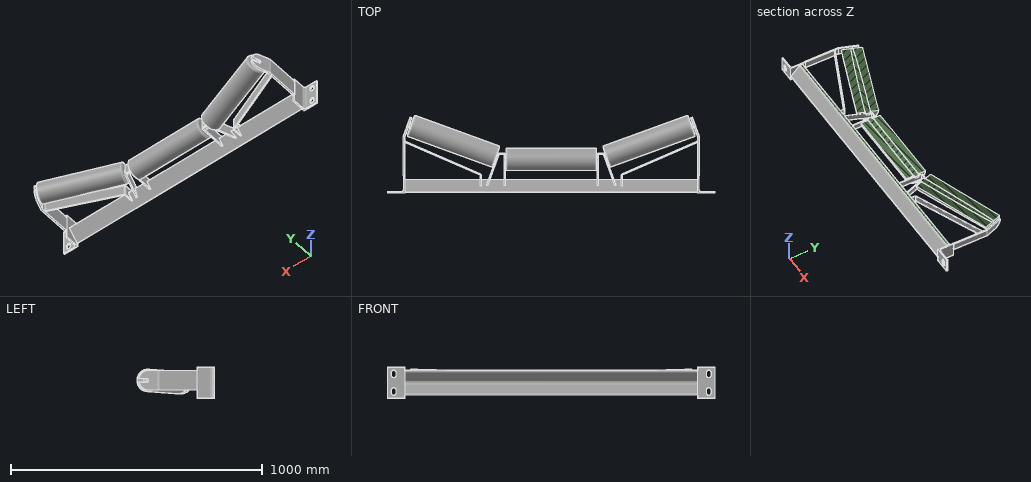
import cadquery as cq
import math


overall_length = 1300.0

beam_leg = 70.0
beam_thickness = 6.8
beam_root_radius = 6.9
beam_toe_radius = 3.2
beam_corner_y = (beam_leg + beam_thickness) / math.sqrt(2)

foot_width = 69.0
foot_height = 125.0
foot_depth = 69.0
foot_thickness = 6.0
foot_bend_radius = 9.0
foot_slot_inset = 25.0
foot_slot_spacing = 70.0
foot_slot_width = 18.0
foot_slot_height = 29.0
beam_end_x = overall_length / 2 - foot_width

wing_angle = 20.0
arm_thickness = 8.0
arm_height = 78.0
arm_rise = 9.8
arm_bend_y = 222.0
arm_bend_radius = 12.0
arm_flap_length = 85.0
arm_tip_radius = 38.0
arm_outer_x = beam_end_x + arm_thickness

roller_diameter = 90.0
roller_length = 360.0
roller_edge_radius = 4.0
axle_diameter = 20.0
axle_flat_width = 15.0
wing_end_gap = 6.0
wing_seat_distance = 53.0
center_roller_y = 134.0

bracket_thickness = 6.0
bracket_height = 48.0
bracket_top_y = 160.0
bracket_bend_radius = 8.0
bracket_gap = 2.3
bracket_center_x = roller_length / 2 + bracket_gap
center_axle_reach = bracket_center_x + bracket_thickness

brace_thickness = 5.0
brace_height = 52.0
brace_foot_x = 282.0
brace_knee_y = 72.0
brace_bend_radius = 9.0
brace_arm_y = 203.0

wing_sin = math.sin(math.radians(wing_angle))
wing_cos = math.cos(math.radians(wing_angle))
wing_outward = cq.Vector(-wing_cos, wing_sin, 0)
wing_upward = cq.Vector(wing_sin, wing_cos, 0)
wing_outer_reach = roller_length / 2 + wing_end_gap + arm_thickness
wing_inner_reach = center_axle_reach
wing_axle_length = wing_outer_reach + wing_inner_reach
wing_tilt = math.degrees(math.asin(arm_rise / wing_axle_length))
arm_bend = cq.Vector(-arm_outer_x, arm_bend_y, 0)
arm_tip = arm_bend + wing_upward * arm_flap_length
wing_center = arm_bend + wing_upward * wing_seat_distance - wing_outward * wing_outer_reach
wing_center_z = arm_rise * wing_inner_reach / wing_axle_length


def bent_strip(path, thickness, height, middle_z=0.0):
    """Upright strip whose left face follows path, with its thickness to the right."""
    points = [cq.Vector(x, y, 0) for x, y in path]
    normals = []
    for start, end in zip(points, points[1:]):
        along = (end - start).normalized()
        normals.append(cq.Vector(along.y, -along.x, 0))
    before = [normals[0]] + normals
    after = normals + [normals[-1]]
    right_side = []
    for point, first, second in zip(points, before, after):
        mitre = (first + second) * (thickness / (1 + first.dot(second)))
        right_side.append(point + mitre)
    outline = [(p.x, p.y) for p in points + right_side[::-1]]
    strip = cq.Workplane("XY").polyline(outline).close().extrude(height)
    return strip.translate((0, 0, middle_z - height / 2))


def round_upright_edge(body, x, y, radius):
    """Round the upright edge nearest to (x, y)."""
    nearest = cq.selectors.NearestToPointSelector((x, y, 0))
    return body.edges("|Z").edges(nearest).fillet(radius)


def both_sides(body):
    """The -X body and its mirror image on the +X side."""
    return [body, body.mirror("YZ")]


def place_on_wing(body):
    """Move a body from the X axis to the -X wing roller position."""
    tilted = body.rotate((0, 0, 0), (0, 1, 0), wing_tilt)
    turned = tilted.rotate((0, 0, 0), (0, 0, 1), -wing_angle)
    return turned.translate((wing_center.x, wing_center.y, wing_center_z))


def x_cylinder(diameter, start_x, end_x):
    """Cylinder lying on the X axis."""
    return cq.Workplane("YZ", origin=(start_x, 0, 0)).circle(diameter / 2).extrude(end_x - start_x)


def make_roller():
    """Roller on the X axis with rounded ends and a bore for its axle."""
    body = x_cylinder(roller_diameter, -roller_length / 2, roller_length / 2)
    body = body.edges().fillet(roller_edge_radius)
    return body.cut(x_cylinder(axle_diameter, -roller_length / 2, roller_length / 2))


def make_axle(start_x, end_x):
    """Round shaft with two flats on each end that sticks out of the roller."""
    flats = cq.Workplane("XY").box(2 * (end_x - start_x), axle_diameter, axle_flat_width)
    flattened = x_cylinder(axle_diameter, start_x, end_x).intersect(flats)
    return flattened.union(x_cylinder(axle_diameter, -roller_length / 2, roller_length / 2))


def make_beam():
    """Equal angle iron with a rounded inner corner and rounded leg ends."""
    drop = beam_leg / math.sqrt(2)
    toe = beam_thickness / math.sqrt(2)
    root_y = beam_corner_y - beam_thickness * math.sqrt(2)
    outline = [
        (beam_corner_y, 0),
        (beam_corner_y - drop, drop),
        (0, drop - toe),
        (root_y, 0),
        (0, toe - drop),
        (beam_corner_y - drop, -drop),
    ]
    beam = cq.Workplane("YZ", origin=(-beam_end_x, 0, 0)).polyline(outline).close()
    beam = beam.extrude(2 * beam_end_x)
    for y, z, radius in [
        (root_y, 0, beam_root_radius),
        (0, drop - toe, beam_toe_radius),
        (0, toe - drop, beam_toe_radius),
    ]:
        nearest = cq.selectors.NearestToPointSelector((0, y, z))
        beam = beam.edges("|X").edges(nearest).fillet(radius)
    return beam


def beam_seat_y(plate_height):
    """Y where the edges of a plate of this height meet the sloping beam faces."""
    return beam_corner_y - plate_height / 2


def notch_for_beam(plate):
    """Cut away the beam's outline, with its hollow filled, from a plate that sits on the beam."""
    outline = [(beam_corner_y, 0), (0, beam_corner_y), (0, -beam_corner_y)]
    envelope = cq.Workplane("YZ", origin=(-beam_end_x, 0, 0)).polyline(outline).close()
    return plate.cut(envelope.extrude(2 * beam_end_x))


def make_foot():
    """Bolting plate folded into a leg that lies against the end of the beam."""
    path = [(-beam_end_x, foot_depth), (-beam_end_x, 0), (-overall_length / 2, 0)]
    foot = bent_strip(path, foot_thickness, foot_height)
    inner_x = -beam_end_x - foot_thickness
    foot = round_upright_edge(foot, inner_x, foot_thickness, foot_bend_radius)
    slot_x = foot_slot_inset - overall_length / 2
    slots = (
        cq.Workplane("XZ", origin=(slot_x, foot_depth, 0))
        .rarray(13, foot_slot_spacing, 1, 2)
        .slot2D(foot_slot_height, foot_slot_width, 90)
        .extrude(2 * foot_depth)
    )
    return foot.cut(slots)


def make_arm(wing_axle):
    """Upright arm whose bent, round-ended flap has an open slot for the axle."""
    path = [(-arm_outer_x, foot_depth), (arm_bend.x, arm_bend.y), (arm_tip.x, arm_tip.y)]
    arm = bent_strip(path, arm_thickness, arm_height, arm_rise)
    arm = round_upright_edge(arm, arm_bend.x, arm_bend.y, arm_bend_radius)
    arm = arm.edges(cq.selectors.ParallelDirSelector(wing_outward)).fillet(arm_tip_radius)
    slot = cq.Workplane("XY").box(
        roller_length, arm_flap_length, axle_flat_width, centered=(True, False, True)
    )
    slot = slot.translate((-roller_length, 0, 0))
    return arm.cut(place_on_wing(slot)).cut(wing_axle)


def make_brace():
    """Thin strip standing on the beam and leaning out to the arm."""
    arm_middle_x = beam_end_x + arm_thickness / 2
    path = [
        (-brace_foot_x, beam_seat_y(brace_height)),
        (-brace_foot_x, brace_knee_y),
        (-arm_middle_x, brace_arm_y),
    ]
    brace = bent_strip(path, brace_thickness, brace_height)
    knee_x, knee_y = path[1]
    brace = round_upright_edge(brace, knee_x + brace_thickness, knee_y, brace_bend_radius)
    return notch_for_beam(brace)


def make_bracket(wing_axle, center_axle):
    """Folded sheet astride the beam that holds a wing axle and the centre axle."""
    seat_y = beam_seat_y(bracket_height)
    face_middle = wing_center - wing_outward * (wing_inner_reach - bracket_thickness)
    lean = wing_sin / wing_cos
    path = [
        (face_middle.x + (seat_y - face_middle.y) * lean, seat_y),
        (face_middle.x + (bracket_top_y - face_middle.y) * lean, bracket_top_y),
        (-bracket_center_x, bracket_top_y),
        (-bracket_center_x, seat_y),
    ]
    bracket = bent_strip(path, bracket_thickness, bracket_height)
    for x, y in path[1:3]:
        bracket = round_upright_edge(bracket, x, y, bracket_bend_radius)
    return notch_for_beam(bracket).cut(wing_axle).cut(center_axle)


center_axle = make_axle(-center_axle_reach, center_axle_reach).translate((0, center_roller_y, 0))
wing_axle = place_on_wing(make_axle(-wing_outer_reach, wing_inner_reach))
center_roller = make_roller().translate((0, center_roller_y, 0))
wing_roller = place_on_wing(make_roller())

frame = make_beam()
for plate in [make_arm(wing_axle), make_brace(), make_bracket(wing_axle, center_axle)]:
    for copy in both_sides(plate):
        frame = frame.union(copy)

rollers = [center_roller] + both_sides(wing_roller)
axles = [center_axle] + both_sides(wing_axle)
feet = both_sides(make_foot())

result = cq.Compound.makeCompound(
    [body.val() for body in [frame] + feet + rollers + axles]
)